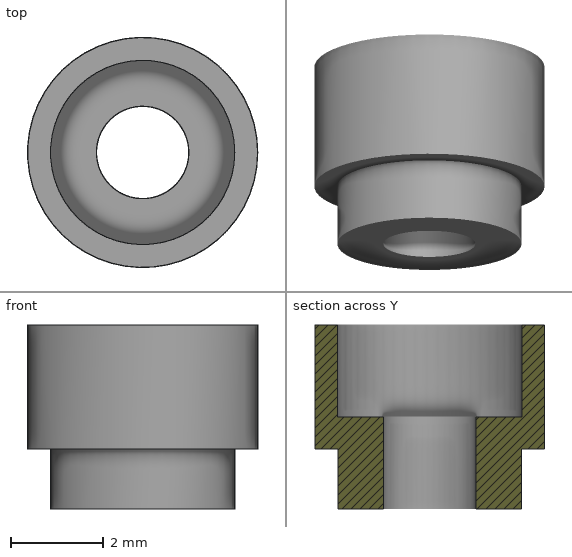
import cadquery as cq

body_diameter = 5.0
total_height = 4.0
spigot_diameter = 4.0
spigot_height = 1.3
pocket_diameter = 4.0
pocket_depth = 2.0
hole_diameter = 2.0

body_height = total_height - spigot_height


def cylinder(diameter, height, base_z):
    """Upright cylinder centred on the Z axis, standing on the plane Z = base_z."""
    return cq.Workplane("XY").workplane(offset=base_z).circle(diameter / 2).extrude(height)


spigot = cylinder(spigot_diameter, spigot_height, 0)
body = cylinder(body_diameter, body_height, spigot_height)

pocket = cylinder(pocket_diameter, pocket_depth, total_height - pocket_depth)
through_hole = cylinder(hole_diameter, total_height, 0)

result = spigot.union(body).cut(pocket).cut(through_hole)